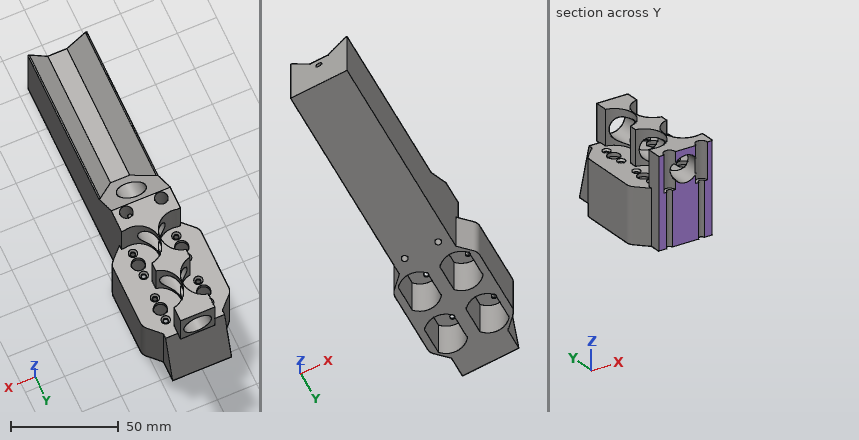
import cadquery as cq
import math

length = 165.1
body_width = 30.0
height = 49.5
grip_height = 35.3
deck_height = 30.4
end_slope_run = 8.1

mount_width = 45.0
mount_start = 104.5
mount_end = 154.5
mount_corner_radius = 5.0

motor_x = 11.0
motor_rows = (117.0, 142.2)
motor_centers = [(side * motor_x, y) for side in (-1, 1) for y in motor_rows]
motor_radius = 10.2
motor_flat_width = 15.5
motor_plate_thickness = 2.0
shaft_hole_diameter = 6.6
screw_offset = 6.19
screw_hole_diameter = 2.5
screw_sink_diameter = 4.3

spine_width = 17.5
spine_start = 106.8
spine_end = 160.0
spine_base = 29.9
wheel_pocket_x = 10.7
wheel_pocket_radius = 10.5

bore_diameter = 14.0
bore_height = 38.8
shoulder_y = 95.1
trough_floor_height = 26.0
trough_floor_width = 9.7

clamp_x = 8.9
clamp_y = 98.5
clamp_hole_diameter = 3.1
clamp_recess_diameter = 6.3
clamp_recess_depth = 19.8
end_hole_diameter = 3.1
end_hole_height = 20.3
end_hole_depth = 33.0


def make_body():
    """Side profile: sloped far end, deck, tall shoulder with a 45 degree face, low grip."""
    shoulder_foot_y = shoulder_y - (height - grip_height)
    profile = [
        (0, 0),
        (length, 0),
        (length - end_slope_run, deck_height),
        (spine_start, deck_height),
        (spine_start, height),
        (shoulder_y, height),
        (shoulder_foot_y, grip_height),
        (0, grip_height),
    ]
    return cq.Workplane("YZ").polyline(profile).close().extrude(body_width / 2, both=True)


def make_mount():
    """Block that flares out at 45 degrees on both ends, with rounded outer corners."""
    inner = body_width / 2
    outer = mount_width / 2
    flare = outer - inner
    right_half = [
        (inner, mount_start),
        (outer, mount_start + flare),
        (outer, mount_end - flare),
        (inner, mount_end),
    ]
    left_half = [(-x, y) for x, y in reversed(right_half)]
    block = cq.Workplane("XY").polyline(right_half + left_half).close().extrude(deck_height)
    return block.edges("|Z and (>X or <X)").fillet(mount_corner_radius)


def make_spine():
    """Upright bar that overhangs the sloped end."""
    return cq.Workplane("XY", origin=(0, spine_start, spine_base)).box(
        spine_width, spine_end - spine_start, height - spine_base, centered=(True, False, False)
    )


def vertical_cylinders(points, diameter, bottom, top):
    """Upright cylinders at the given XY points, between two heights."""
    plane = cq.Workplane("XY", origin=(0, 0, bottom))
    return plane.pushPoints(points).circle(diameter / 2).extrude(top - bottom)


def make_wheel_pockets():
    """Round pockets above the deck that scallop both sides of the spine."""
    centers = [(side * wheel_pocket_x, y) for side in (-1, 1) for y in motor_rows]
    return vertical_cylinders(centers, 2 * wheel_pocket_radius, deck_height, height)


def make_motor_cavities():
    """Double-flat motor cavities, open at the bottom and closed by a thin plate under the deck."""
    half_flat = motor_flat_width / 2
    flat_end = math.sqrt(motor_radius**2 - half_flat**2)
    cavities = cq.Workplane("XY")
    for x, y in motor_centers:
        cavity = (
            cq.Workplane("XY", origin=(x, y, 0))
            .moveTo(half_flat, -flat_end)
            .lineTo(half_flat, flat_end)
            .threePointArc((0, motor_radius), (-half_flat, flat_end))
            .lineTo(-half_flat, -flat_end)
            .threePointArc((0, -motor_radius), (half_flat, -flat_end))
            .close()
            .extrude(deck_height - motor_plate_thickness)
        )
        cavities = cavities.add(cavity)
    return cavities.combine()


def drill_motor_plates(part):
    """Shaft hole and two countersunk screw holes over each motor."""
    screws = [(x, y + step) for x, y in motor_centers for step in (-screw_offset, screw_offset)]
    deck = cq.Workplane("XY", origin=(0, 0, deck_height))
    sink_depth = (screw_sink_diameter - screw_hole_diameter) / 2
    sinks = (
        deck.pushPoints(screws)
        .circle(screw_sink_diameter / 2)
        .extrude(-sink_depth, taper=45)
    )
    shaft_holes = vertical_cylinders(motor_centers, shaft_hole_diameter, 0, deck_height)
    screw_holes = vertical_cylinders(screws, screw_hole_diameter, 0, deck_height)
    return part.cut(shaft_holes).cut(screw_holes).cut(sinks)


def make_trough():
    """Flat-floored channel with 45 degree sides, ending on the shoulder's 45 degree face."""
    rise = height - trough_floor_height
    floor_half = trough_floor_width / 2
    section = [
        (-floor_half, trough_floor_height),
        (floor_half, trough_floor_height),
        (floor_half + rise, height),
        (-floor_half - rise, height),
    ]
    side_profile = [
        (0, trough_floor_height),
        (shoulder_y - rise, trough_floor_height),
        (shoulder_y, height),
        (0, height),
    ]
    channel = cq.Workplane("XZ").polyline(section).close().extrude(-length)
    reach = cq.Workplane("YZ").polyline(side_profile).close().extrude(mount_width, both=True)
    return channel.intersect(reach)


def lengthwise_hole(diameter, z, depth):
    """Cylinder along Y on the centre plane, starting at the grip end."""
    return cq.Workplane("XZ", origin=(0, 0, z)).circle(diameter / 2).extrude(-depth)


def drill_clamp_holes(part):
    """Two counterbored holes through the shoulder."""
    points = [(side * clamp_x, clamp_y) for side in (-1, 1)]
    holes = vertical_cylinders(points, clamp_hole_diameter, 0, height)
    recesses = vertical_cylinders(points, clamp_recess_diameter, height - clamp_recess_depth, height)
    return part.cut(holes).cut(recesses)


result = make_body().union(make_mount()).union(make_spine())
result = result.cut(make_wheel_pockets())
result = result.cut(make_motor_cavities())
result = drill_motor_plates(result)
result = result.cut(make_trough())
result = result.cut(lengthwise_hole(bore_diameter, bore_height, length))
result = result.cut(lengthwise_hole(end_hole_diameter, end_hole_height, end_hole_depth))
result = drill_clamp_holes(result)